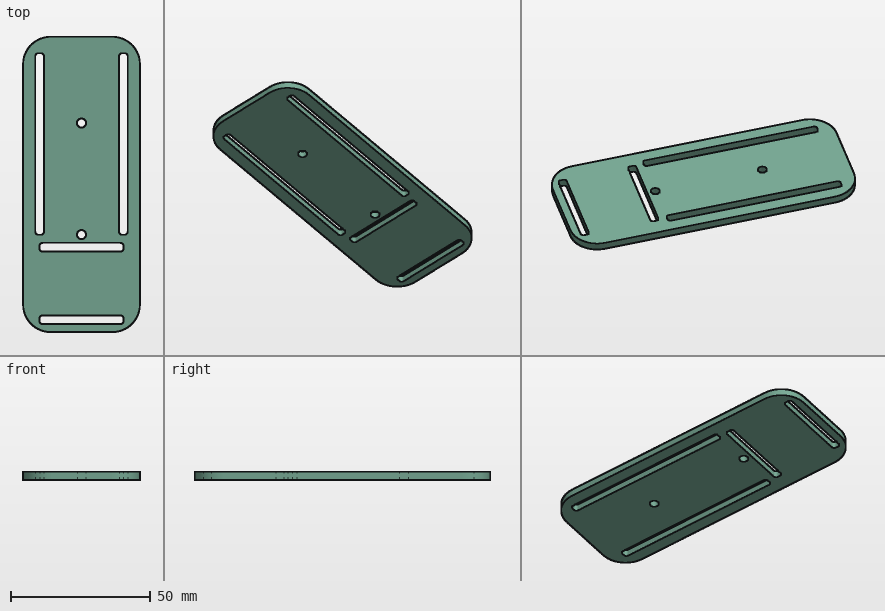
import cadquery as cq

plate_width = 42.0
plate_length = 106.0
plate_thickness = 3.0
plate_corner_radius = 10.0

slot_width = 3.0
slot_corner_radius = 1.0

long_slot_length = 65.0
long_slot_offset_x = 15.0
long_slot_center_y = 14.5

cross_slot_length = 30.0
cross_slot_centers_y = (-22.5, -48.5)

hole_diameter = 3.2
hole_spacing = 40.0
lower_hole_y = -18.0
hole_centers = [(0, lower_hole_y), (0, lower_hole_y + hole_spacing)]


def rounded_block(size_x, size_y, corner_radius, center=(0, 0)):
    """Block of plate thickness, standing on Z = 0, with rounded vertical edges."""
    return (
        cq.Workplane("XY")
        .center(*center)
        .rect(size_x, size_y)
        .extrude(plate_thickness)
        .edges("|Z")
        .fillet(corner_radius)
    )


def cut_long_slots(body):
    for x in (-long_slot_offset_x, long_slot_offset_x):
        center = (x, long_slot_center_y)
        body = body.cut(rounded_block(slot_width, long_slot_length, slot_corner_radius, center))
    return body


def cut_cross_slots(body):
    for y in cross_slot_centers_y:
        body = body.cut(rounded_block(cross_slot_length, slot_width, slot_corner_radius, (0, y)))
    return body


def cut_screw_holes(body):
    holes = cq.Workplane("XY").pushPoints(hole_centers).circle(hole_diameter / 2).extrude(plate_thickness)
    return body.cut(holes)


plate = rounded_block(plate_width, plate_length, plate_corner_radius)
plate = cut_long_slots(plate)
plate = cut_cross_slots(plate)
result = cut_screw_holes(plate)